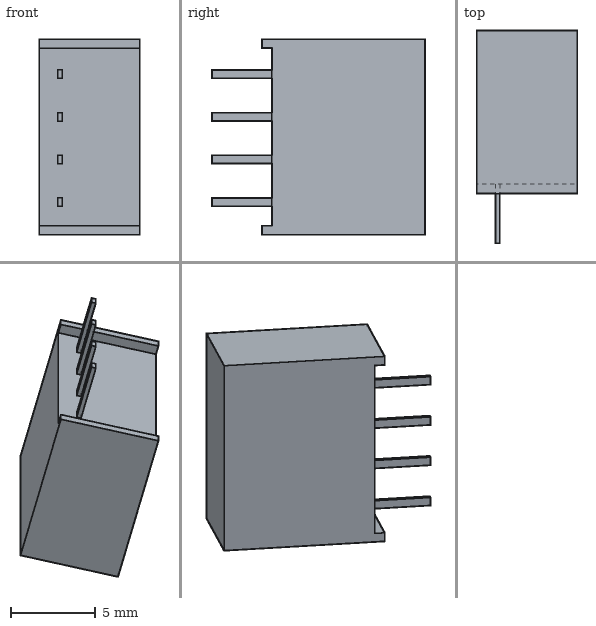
import cadquery as cq

overall_length = 12.68
housing_width = 6.0
housing_height = 11.65

housing_depth = 9.71
lip_projection = 0.6
lip_thickness = 0.55

pin_count = 4
pin_pitch = 2.54
pin_width = 0.27
pin_height = 0.51
pin_center_x = 1.25
lowest_pin_z = 1.95

lip_front_y = overall_length - housing_depth
pin_face_y = lip_front_y + lip_projection


def make_housing():
    """Block with a full-width recess between the two lips of its pin face."""
    block = cq.Workplane("XY").box(housing_width, housing_depth, housing_height, centered=False)
    recess_height = housing_height - 2 * lip_thickness
    recess = (
        cq.Workplane("XY")
        .box(housing_width, lip_projection, recess_height, centered=False)
        .translate((0, 0, lip_thickness))
    )
    return block.cut(recess).translate((0, lip_front_y, 0))


def make_pin(center_z):
    """Straight rectangular pin from its tip to the pin face."""
    return (
        cq.Workplane("XY")
        .box(pin_width, pin_face_y, pin_height, centered=(True, False, True))
        .translate((pin_center_x, 0, center_z))
    )


housing = make_housing()
pins = [make_pin(lowest_pin_z + i * pin_pitch) for i in range(pin_count)]

result = cq.Compound.makeCompound([housing.val(), *[pin.val() for pin in pins]])